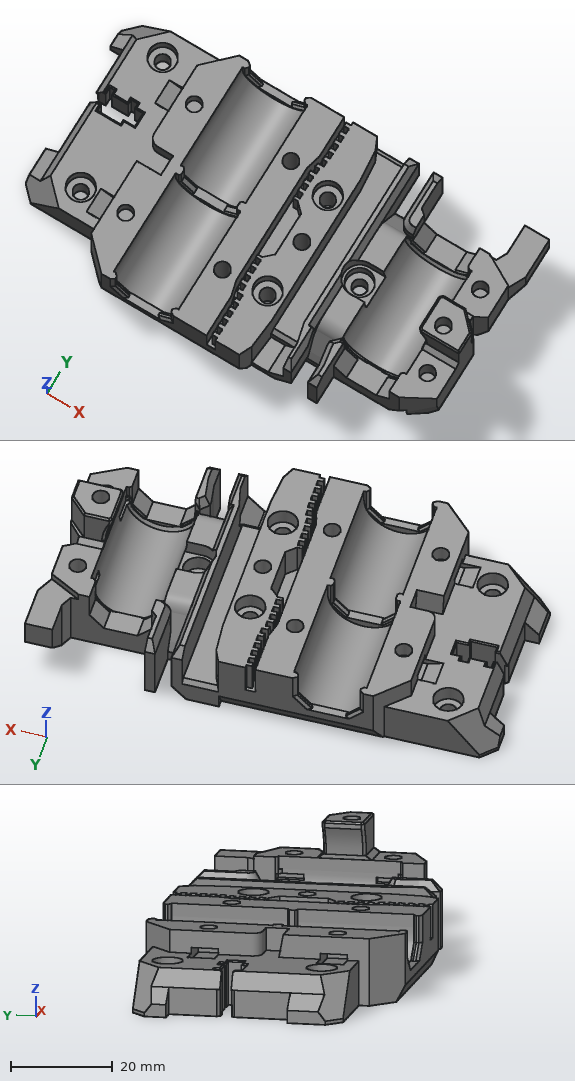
import cadquery as cq
import math

SIDE_Y = 26.02
BODY_TOP = 13.6
TOTAL_HEIGHT = 21.4
OVERCUT = 1.0

PLATE_TOP = 9.0
PLATE_LEFT_Y = 24.3
PLATE_RIGHT_Y = -18.0
PLATE_FACE_X = 3.0
PLATE_BEVEL_X = 4.6
PLATE_BEVEL_Z = 5.4
TOE_Z = 2.6
TOE_GAP_LEFT_Y = 17.0
TOE_GAP_RIGHT_Y = -7.4
CORNER_CUT_Z = 0.8

BLOCK_X = 18.1
BLOCK_END_X = 57.7
SHOULDER = 6.0
SKIRT_Z = 3.15
SKIRT_Y = 1.5

CRADLE_RADIUS = 7.45
CRADLE_Z = 11.0
FRONT_CRADLE_X = 33.4
REAR_CRADLE_X = 78.5
MOUTH_HALF = 6.4
MOUTH_FLAT_HALF = 3.4
MOUTH_CORNER_Z = 8.1
MOUTH_FLOOR_Z = 5.1
FRONT_CRADLE_END_Y = 24.4
MID_RIB_HALF = 1.0
RIB_CHAMFER = 0.4
FRONT_MOUTH_CHAMFER = 0.9
FRONT_MOUTH_CHAMFER_Y = 0.6
REAR_CRADLE_END_Y = 12.3
REAR_RIB_CHAMFER = 0.5
REAR_SEAT_CHAMFER = 0.7

SCREW_D = 3.2
BOLT_D = 3.3
HEAD_D = 6.0
HEAD_DEPTH = 3.3
BLIND_DEPTH = 5.7
TOWER_HOLE_D = 3.3
TIE_WIDTH = 5.4
TIE_TOP = 10.1
TIE_FLOOR = 7.7
BOLT_Y = 12.94
REAR_BOLT_Y = 9.98

BELT_X = 48.3
BELT_WIDTH = 0.9
BELT_SHIFT = 0.9
BELT_BEND_OUTER_Y = 16.7
BELT_BEND_INNER_Y = 13.4
BELT_FLOOR = 6.9
TOOTH_PITCH = 2.0
TOOTH_GAP = 1.1
TOOTH_DEPTH = 1.1
TOOTH_COUNT = 10
FIRST_TOOTH_Y = 25.9

REAR_Y = 17.1
REAR_X = 93.7
REAR_CORNER_X = 87.2
REAR_CORNER_Y = 13.5
REAR_CRADLE_LEFT_X = REAR_CRADLE_X - MOUTH_HALF
DUCT_RIGHT_Y = -23.4
WALL_X = 63.3
WALL_OUTER_X = 65.5
WALL_SPLAY_X = 64.4
WALL_SPLAY_OUTER_X = 66.2
DUCT_FLOOR = 5.3
DUCT_LOW_FLOOR = 2.0
END_BEVEL = 2.0
CREST_BEVEL = 1.1
HUMP_TOP = 11.6
ARM_TOP = 12.0


def plan(points, z_low, z_high):
    """Prism with the given XY outline between two heights."""
    return cq.Workplane("XY").workplane(offset=z_low).polyline(points).close().extrude(z_high - z_low)


def along_y(points, y_low, y_high):
    """Prism with the given XZ outline between two Y positions."""
    return cq.Workplane("XZ", origin=(0, y_low, 0)).polyline(points).close().extrude(y_low - y_high)


def along_x(points, x_low, x_high):
    """Prism with the given YZ outline between two X positions."""
    return cq.Workplane("YZ", origin=(x_low, 0, 0)).polyline(points).close().extrude(x_high - x_low)


def block(x_low, x_high, y_low, y_high, z_low, z_high):
    size = (x_high - x_low, y_high - y_low, z_high - z_low)
    return cq.Workplane("XY").box(*size, centered=False).translate((x_low, y_low, z_low))


def beyond_plane(a, b, c, size=19.1):
    """Cube resting on the plane through three points, on the side of (b - a) x (c - a)."""
    start, along, across = cq.Vector(*a), cq.Vector(*b), cq.Vector(*c)
    x_direction = along - start
    normal = x_direction.cross(across - start)
    middle = (start + along + across) / 3
    plane = cq.Plane(middle.toTuple(), x_direction.toTuple(), normal.toTuple())
    return cq.Workplane(plane).box(size, size, size, centered=(True, True, False))


def drill(x, y, diameter, z_low, z_high=BODY_TOP + OVERCUT):
    return cq.Workplane("XY", origin=(x, y, z_low)).circle(diameter / 2).extrude(z_high - z_low)


def headed_hole(x, y, seat_z):
    """Through hole with a round head pocket above seat_z."""
    return drill(x, y, SCREW_D, -OVERCUT).union(drill(x, y, HEAD_D, seat_z))


def front_plate():
    plate_end_x = BLOCK_X + SHOULDER
    side = [
        (0, 0), (0, TOE_Z), (PLATE_FACE_X, PLATE_BEVEL_Z), (PLATE_BEVEL_X, PLATE_TOP),
        (plate_end_x, PLATE_TOP), (plate_end_x, 0),
    ]
    plate = along_y(side, PLATE_RIGHT_Y, PLATE_LEFT_Y)
    plate = plate.cut(
        block(-OVERCUT, PLATE_FACE_X, TOE_GAP_RIGHT_Y, TOE_GAP_LEFT_Y, -OVERCUT, PLATE_TOP)
    )
    base_run = 3.0
    top_x = 9.5
    for side_y, outward in ((PLATE_LEFT_Y, 1), (PLATE_RIGHT_Y, -1)):
        front_point = (0, side_y - outward * base_run, CORNER_CUT_Z)
        side_point = (base_run, side_y, CORNER_CUT_Z)
        top_point = (top_x, side_y, PLATE_TOP)
        if outward > 0:
            plate = plate.cut(beyond_plane(front_point, top_point, side_point))
        else:
            plate = plate.cut(beyond_plane(front_point, side_point, top_point))
        foot = [(0, front_point[1]), (base_run, side_y), (-OVERCUT, side_y + outward * OVERCUT)]
        plate = plate.cut(plan(foot, -OVERCUT, CORNER_CUT_Z))
    return plate


def wiring_notch():
    """Stepped slot running into the plate from its front face, with a bevelled rim."""
    rim, entry = 0.3, 0.6
    left_y, right_y = 7.1, 4.2
    outline = [
        (PLATE_FACE_X - OVERCUT, right_y), (5.3, right_y), (5.3, 2.8), (11.2, 2.8), (11.2, 3.8),
        (13.75, 3.8), (13.75, 7.5), (11.8, 7.5), (11.8, 8.7), (9.7, 8.7), (9.7, 7.5),
        (6.6, 7.5), (6.6, 8.7), (4.9, 8.7), (4.9, left_y), (PLATE_FACE_X - OVERCUT, left_y),
    ]
    slot = (
        cq.Workplane("XY", origin=(0, 0, -OVERCUT))
        .polyline(outline)
        .close()
        .offset2D(-rim, "intersection")
        .extrude(PLATE_TOP + 2 * OVERCUT)
    )
    bevel = cq.Workplane("XY", origin=(0, 0, PLATE_TOP)).polyline(outline).close().extrude(-rim, taper=45)
    funnel = [
        (PLATE_FACE_X, right_y + rim - entry), (PLATE_FACE_X + entry, right_y + rim),
        (PLATE_FACE_X + entry, left_y - rim), (PLATE_FACE_X, left_y - rim + entry),
    ]
    return slot.union(bevel).union(plan(funnel, -OVERCUT, PLATE_BEVEL_Z))


def main_block():
    taper_x, knee_x, knee_y, straight_y = 55.9, 57.1, 23.3, 16.7
    shoulder_x = BLOCK_X + SHOULDER
    half = [
        (shoulder_x, SIDE_Y), (taper_x, SIDE_Y), (knee_x, knee_y), (BLOCK_END_X, straight_y),
    ]
    mirrored = [(x, -y) for x, y in reversed(half)]
    shoulder_y = SIDE_Y - SHOULDER
    outline = half + mirrored + [(BLOCK_X, -shoulder_y), (BLOCK_X, shoulder_y)]
    body = plan(outline, 0, BODY_TOP)
    for outward in (1, -1):
        skirt = [(outward * SIDE_Y, 0), (outward * SIDE_Y, SKIRT_Z), (outward * (SIDE_Y - SKIRT_Y), 0)]
        body = body.cut(along_x(skirt, BLOCK_X, BLOCK_END_X))
    return body


def cable_notch():
    """Notch in the front of the block with one leaning side and one rounded corner."""
    end_x, left_y, right_y, lean, round_r = 23.7, 1.8, -3.0, 1.05, 2.0
    section = [
        (left_y, PLATE_TOP), (right_y + lean, PLATE_TOP),
        (right_y, BODY_TOP + OVERCUT), (left_y, BODY_TOP + OVERCUT),
    ]
    corner = (
        cq.Workplane("XY", origin=(0, 0, PLATE_TOP))
        .moveTo(BLOCK_X, left_y)
        .lineTo(BLOCK_X + round_r, left_y)
        .radiusArc((BLOCK_X, left_y + round_r), round_r)
        .close()
        .extrude(BODY_TOP)
    )
    return along_x(section, BLOCK_X - OVERCUT, end_x).union(corner)


def belt_slot():
    """Toothed belt slot along the block, with a clamping pocket at its middle."""
    end_y = SIDE_Y + OVERCUT
    front_edge = [
        (BELT_X, -end_y), (BELT_X, -BELT_BEND_OUTER_Y),
        (BELT_X - BELT_SHIFT, -BELT_BEND_INNER_Y), (BELT_X - BELT_SHIFT, BELT_BEND_INNER_Y),
        (BELT_X, BELT_BEND_OUTER_Y), (BELT_X, end_y),
    ]
    rear_edge = [(x + BELT_WIDTH, y) for x, y in reversed(front_edge)]
    slot_top = BODY_TOP + OVERCUT
    slot = plan(front_edge + rear_edge, BELT_FLOOR, slot_top)

    bend_length = BELT_BEND_OUTER_Y - BELT_BEND_INNER_Y
    for index in range(TOOTH_COUNT):
        y = FIRST_TOOTH_Y - index * TOOTH_PITCH
        bend = min(max((BELT_BEND_OUTER_Y - y) / bend_length, 0), 1)
        gap_x = BELT_X - BELT_SHIFT * bend
        gap_end_x = gap_x + BELT_WIDTH + TOOTH_DEPTH
        for center_y in (y, -y):
            gap = block(
                gap_x + BELT_WIDTH / 2, gap_end_x,
                center_y - TOOTH_GAP / 2, center_y + TOOTH_GAP / 2, BELT_FLOOR, slot_top,
            )
            slot = slot.union(gap)

    pocket_x, pocket_end_x, pocket_y, pocket_end_y = 49.4, 51.3, 6.7, 4.9
    pocket = [
        (BELT_X - BELT_SHIFT / 2, pocket_y), (pocket_x, pocket_y), (pocket_end_x, pocket_end_y),
        (pocket_end_x, -pocket_end_y), (pocket_x, -pocket_y), (BELT_X - BELT_SHIFT / 2, -pocket_y),
    ]
    return slot.union(plan(pocket, BELT_FLOOR, slot_top))


def mouth_outline(center_x, y, growth=0.0):
    """Eight-sided cradle opening; growth widens its upright and sloping sides."""
    half = MOUTH_HALF + growth
    top = BODY_TOP + OVERCUT
    points = [
        (-half, top), (-half, MOUTH_CORNER_Z), (-MOUTH_FLAT_HALF - growth, MOUTH_FLOOR_Z),
        (MOUTH_FLAT_HALF + growth, MOUTH_FLOOR_Z), (half, MOUTH_CORNER_Z), (half, top),
    ]
    return cq.Wire.makePolygon([cq.Vector(center_x + x, y, z) for x, z in points], close=True)


def flare(center_x, narrow_y, wide_y, growth):
    narrow = mouth_outline(center_x, narrow_y)
    wide = mouth_outline(center_x, wide_y, growth)
    return cq.Workplane(obj=cq.Solid.makeLoft([narrow, wide], True))


def mouth(center_x, half_length):
    wires = [mouth_outline(center_x, -half_length), mouth_outline(center_x, half_length)]
    return cq.Workplane(obj=cq.Solid.makeLoft(wires, True))


def bearing_seat(center_x, y_low, y_high, end_chamfer=0.0):
    """Round seat with upright sides above its axis and, if asked for, chamfered round ends."""
    seat = (
        cq.Workplane("XZ", origin=(center_x, y_low, CRADLE_Z))
        .circle(CRADLE_RADIUS)
        .extrude(y_low - y_high)
    )
    if end_chamfer > 0:
        seat = seat.edges("%CIRCLE").chamfer(end_chamfer)
    sides = block(
        center_x - CRADLE_RADIUS, center_x + CRADLE_RADIUS, y_low, y_high,
        CRADLE_Z, BODY_TOP + OVERCUT,
    )
    return seat.union(sides)


def front_cradle():
    cutter = mouth(FRONT_CRADLE_X, SIDE_Y + OVERCUT)
    for outward in (1, -1):
        inner, outer = outward * MID_RIB_HALF, outward * FRONT_CRADLE_END_Y
        cutter = cutter.union(bearing_seat(FRONT_CRADLE_X, min(inner, outer), max(inner, outer)))
        crest = outward * (MID_RIB_HALF - RIB_CHAMFER)
        cutter = cutter.union(flare(FRONT_CRADLE_X, crest, inner, RIB_CHAMFER))
        inner_lip = outer + outward * FRONT_MOUTH_CHAMFER_Y
        cutter = cutter.union(flare(FRONT_CRADLE_X, inner_lip, outer, FRONT_MOUTH_CHAMFER_Y))
        lip = outward * (SIDE_Y - FRONT_MOUTH_CHAMFER_Y)
        cutter = cutter.union(flare(FRONT_CRADLE_X, lip, outward * SIDE_Y, FRONT_MOUTH_CHAMFER))
    return cutter


def rear_cradle():
    cutter = mouth(REAR_CRADLE_X, REAR_Y + OVERCUT)
    seat = bearing_seat(REAR_CRADLE_X, -REAR_CRADLE_END_Y, REAR_CRADLE_END_Y, REAR_SEAT_CHAMFER)
    cutter = cutter.union(seat)
    for outward in (1, -1):
        seat_end = outward * REAR_CRADLE_END_Y
        lip = seat_end + outward * REAR_RIB_CHAMFER
        cutter = cutter.union(flare(REAR_CRADLE_X, lip, seat_end, REAR_RIB_CHAMFER))
    return cutter


def tie_slots():
    """Tie passages: ramped ones from the plate, straight ones in the rear cradle."""
    ramp_x, ramp_end_x, ramp_stop_x, rear_end_x = 14.4, 17.7, 24.8, 87.3
    path = [
        (ramp_x, PLATE_TOP), (ramp_end_x, TIE_FLOOR), (ramp_stop_x, TIE_FLOOR),
        (ramp_stop_x, TIE_TOP), (ramp_x, TIE_TOP),
    ]
    cutters = cq.Workplane()
    for outward in (1, -1):
        y = outward * BOLT_Y
        cutters = cutters.add(along_y(path, y - TIE_WIDTH / 2, y + TIE_WIDTH / 2))
        y = outward * REAR_BOLT_Y
        cutters = cutters.add(block(
            REAR_CRADLE_X + MOUTH_HALF, rear_end_x,
            y - TIE_WIDTH / 2, y + TIE_WIDTH / 2, PLATE_TOP, TIE_TOP,
        ))
    return cutters.combine()


def duct_trough():
    """Trough behind the block: floor, sloping outer corner and the upright wall."""
    outer_slope_x = 62.5
    outer_slope_z = WALL_SPLAY_OUTER_X - outer_slope_x
    start_x = BLOCK_END_X - 1.9
    splay_start_y, splay_end_y = -13.75, -18.1
    section = [
        (start_x, 0), (outer_slope_x, 0), (WALL_SPLAY_OUTER_X, outer_slope_z),
        (WALL_SPLAY_OUTER_X, BODY_TOP), (start_x, BODY_TOP),
    ]
    trough = along_y(section, DUCT_RIGHT_Y, SIDE_Y)
    outside = [
        (WALL_OUTER_X, SIDE_Y), (WALL_OUTER_X, splay_start_y), (WALL_SPLAY_OUTER_X, -REAR_Y),
        (WALL_SPLAY_OUTER_X, DUCT_RIGHT_Y), (start_x, DUCT_RIGHT_Y), (start_x, SIDE_Y),
    ]
    trough = trough.intersect(plan(outside, 0, BODY_TOP))

    crest = [
        (WALL_OUTER_X - CREST_BEVEL, BODY_TOP), (WALL_OUTER_X, BODY_TOP - END_BEVEL),
        (WALL_SPLAY_OUTER_X, BODY_TOP - END_BEVEL), (WALL_SPLAY_OUTER_X, BODY_TOP),
    ]
    trough = trough.cut(along_y(crest, splay_start_y, SIDE_Y))
    crest_right = [
        (WALL_SPLAY_OUTER_X - CREST_BEVEL, BODY_TOP), (WALL_SPLAY_OUTER_X, BODY_TOP - END_BEVEL),
        (WALL_SPLAY_OUTER_X, BODY_TOP),
    ]
    trough = trough.cut(along_y(crest_right, DUCT_RIGHT_Y, splay_start_y))
    trough = trough.cut(end_bevels(start_x, WALL_SPLAY_OUTER_X))

    step_y, step_end_y, bevel_y, bevel_drop = -15.95, -17.0, 25.1, 0.9
    floor_profile = [
        (DUCT_RIGHT_Y, DUCT_LOW_FLOOR), (step_end_y, DUCT_LOW_FLOOR),
        (step_end_y, DUCT_FLOOR - bevel_drop), (step_y, DUCT_FLOOR),
        (bevel_y, DUCT_FLOOR), (SIDE_Y, DUCT_FLOOR - bevel_drop),
        (SIDE_Y, BODY_TOP), (DUCT_RIGHT_Y, BODY_TOP),
    ]
    inside = [
        (start_x, SIDE_Y), (WALL_X, SIDE_Y), (WALL_X, splay_start_y),
        (WALL_SPLAY_X, splay_end_y), (WALL_SPLAY_X, DUCT_RIGHT_Y), (start_x, DUCT_RIGHT_Y),
    ]
    inner_slope_x = 60.9
    inner_section = [
        (start_x, DUCT_LOW_FLOOR), (inner_slope_x, DUCT_LOW_FLOOR),
        (WALL_SPLAY_X, DUCT_LOW_FLOOR + WALL_SPLAY_X - inner_slope_x),
        (WALL_SPLAY_X, BODY_TOP), (start_x, BODY_TOP),
    ]
    air = along_x(floor_profile, start_x, WALL_SPLAY_X)
    air = air.intersect(plan(inside, 0, BODY_TOP))
    air = air.intersect(along_y(inner_section, DUCT_RIGHT_Y, SIDE_Y))
    return trough.cut(air)


def end_bevels(x_low, x_high):
    """Bevels that lower the ends of a duct wall."""
    left = [(SIDE_Y - END_BEVEL, BODY_TOP), (SIDE_Y, BODY_TOP - END_BEVEL), (SIDE_Y, BODY_TOP)]
    right = [
        (DUCT_RIGHT_Y + END_BEVEL, BODY_TOP), (DUCT_RIGHT_Y, BODY_TOP - END_BEVEL),
        (DUCT_RIGHT_Y, BODY_TOP),
    ]
    return along_x(left, x_low, x_high).union(along_x(right, x_low, x_high))


def duct_hump():
    """Rounded hump that fills the gap between the trough and the rear body."""
    foot_z, flat_y, shoulder_y, shoulder_z, curl_y, curl_z = 2.3, 9.6, 12.9, 9.4, 16.0, 4.3
    return (
        cq.Workplane("YZ", origin=(WALL_X, 0, 0))
        .moveTo(-REAR_Y, 0)
        .lineTo(-REAR_Y, foot_z)
        .lineTo(-curl_y, curl_z)
        .lineTo(-shoulder_y, shoulder_z)
        .threePointArc((-11.6, 11.0), (-flat_y, HUMP_TOP))
        .lineTo(flat_y, HUMP_TOP)
        .threePointArc((11.6, 11.0), (shoulder_y, shoulder_z))
        .lineTo(curl_y, curl_z)
        .lineTo(REAR_Y, foot_z)
        .lineTo(REAR_Y, 0)
        .close()
        .extrude(REAR_CRADLE_X - WALL_X)
    )


def bevelled_fin(outline, margin_outline):
    """Upright fin; margin_outline overhangs it except along the edges whose crest is bevelled."""
    bevel_angle = math.degrees(math.atan(CREST_BEVEL / END_BEVEL))
    bevel_z = BODY_TOP - END_BEVEL
    crest = margin_outline.extrude(END_BEVEL, taper=bevel_angle).translate((0, 0, bevel_z))
    foot = margin_outline.toPending().extrude(bevel_z)
    return outline.extrude(BODY_TOP).intersect(foot.union(crest))


def rear_duct_wall():
    """Two upright fins in front of the rear cradle, bevelled along their front crest."""
    fin_x, fin_back_x, bend_y, inner_y = 68.9, 71.0, 18.1, 13.0
    bend_r, margin = 2.4, 4.8
    back_x = REAR_CRADLE_LEFT_X

    def left_face(outer_y, inner_end_x):
        """Front face of the left fin, curving inwards, still open at the back."""
        return (
            cq.Workplane("XY")
            .moveTo(inner_end_x, inner_y)
            .lineTo(fin_x + bend_r, inner_y)
            .radiusArc((fin_x, inner_y + bend_r), bend_r)
            .lineTo(fin_x, outer_y)
        )

    left = bevelled_fin(
        left_face(SIDE_Y, back_x)
        .lineTo(fin_back_x, SIDE_Y)
        .lineTo(fin_back_x, bend_y)
        .lineTo(back_x, REAR_Y)
        .close(),
        left_face(SIDE_Y + margin, back_x + margin).lineTo(back_x + margin, SIDE_Y + margin).close(),
    )

    right_x, throat_x = 70.0, 69.3
    right_face = [
        (right_x, -REAR_Y - 1.9), (throat_x, -inner_y - 1.9), (throat_x, -inner_y - 1.0),
        (fin_back_x, 0.7 - inner_y),
    ]
    right_outline = right_face + [(back_x, -inner_y), (back_x, DUCT_RIGHT_Y), (right_x, DUCT_RIGHT_Y)]
    right_margin = right_face + [
        (back_x + margin, 0.7 - inner_y), (back_x + margin, DUCT_RIGHT_Y - margin),
        (right_x, DUCT_RIGHT_Y - margin),
    ]
    right = bevelled_fin(
        cq.Workplane("XY").polyline(right_outline).close(),
        cq.Workplane("XY").polyline(right_margin).close(),
    )
    return left.union(right).cut(end_bevels(fin_x, back_x))


def duct_screw_recess():
    """Rounded recess with a screw hole at the middle of the hump."""
    screw_x, floor_z, half_width, end_x = 67.7, 8.5, 3.6, 71.6
    recess = drill(screw_x, 0, 2 * half_width, floor_z)
    recess = recess.union(
        block(screw_x, end_x, -half_width, half_width, floor_z, BODY_TOP)
    )
    wall_part = block(0, WALL_X, -SIDE_Y, SIDE_Y, 0, TOTAL_HEIGHT)
    return recess.cut(wall_part).union(headed_hole(screw_x, 0, floor_z - HEAD_DEPTH))


BACK_SLOPE = [(91.9, 0), (95.5, 6.3)]
SIDE_NOTCH = [(REAR_X, 5.9), (91.1, 4.5), (91.1, 3.2), (REAR_X, 0.4)]


def rear_body():
    body = plan(
        [
            (REAR_CRADLE_LEFT_X, REAR_Y), (REAR_CORNER_X, REAR_Y), (REAR_X, REAR_CORNER_Y),
            (REAR_X, -REAR_CORNER_Y), (REAR_CORNER_X, -REAR_Y), (REAR_CRADLE_LEFT_X, -REAR_Y),
        ],
        0, BODY_TOP,
    )
    front_strip = block(
        REAR_CRADLE_X - CRADLE_RADIUS, REAR_CRADLE_X, -REAR_CRADLE_END_Y, REAR_CRADLE_END_Y,
        0, HUMP_TOP,
    )
    split_x = 88.4
    undercut = beyond_plane((84.9, -REAR_Y, 0), (90.8, -15.1, 5.2), (86.9, -REAR_Y, 3.1))
    undercut = undercut.intersect(block(REAR_CRADLE_X, split_x, -SIDE_Y, 0, 0, BODY_TOP))
    lean = beyond_plane((split_x, -16.0, 0), (REAR_X, -REAR_CORNER_Y, 7.8), (90.8, -15.1, 5.2))
    lean = lean.intersect(block(split_x, REAR_X, -SIDE_Y, 0, 0, BODY_TOP))
    return body.union(front_strip).cut(undercut).cut(lean)


def side_arm():
    """Arm reaching out to the left from the back corner, with a sloping underside."""
    arm_x, arm_back_x, neck_x, neck_y, tip_z = 89.9, 95.5, 88.7, 19.4, 6.5
    arm = plan(
        [
            (arm_x, SIDE_Y), (arm_back_x, SIDE_Y), (arm_back_x, REAR_Y), (REAR_X, REAR_CORNER_Y),
            (REAR_CORNER_X, REAR_Y), (neck_x, REAR_Y), (arm_x, neck_y),
        ],
        0, ARM_TOP,
    )
    underside = [(SIDE_Y, 0), (SIDE_Y, tip_z), (SIDE_Y - tip_z, 0)]
    return arm.cut(along_x(underside, neck_x - OVERCUT, arm_back_x))


def back_cuts():
    """Sloping back underside and the notch beside the tower."""
    (low_x, low_z), (high_x, high_z) = BACK_SLOPE
    slope = along_y(
        [(low_x, low_z), (high_x, high_z), (high_x + OVERCUT, high_z), (high_x + OVERCUT, low_z)],
        -SIDE_Y, SIDE_Y,
    )
    notch = plan(SIDE_NOTCH, -OVERCUT, BODY_TOP + OVERCUT)
    return slope.union(notch)


def tower():
    """Screw tower that leans over the rear cradle, on a flared foot."""
    left_y, right_y, flare_run, foot_z = 3.3, -5.2, 1.2, 14.4
    seat_x, lip_x, lip_z, edge, side_edge = 85.9, 84.3, 20.1, 0.4, 0.6
    column = (
        cq.Workplane("XZ", origin=(0, right_y, 0))
        .moveTo(seat_x, BODY_TOP)
        .threePointArc((85.5, 17.2), (lip_x, lip_z))
        .lineTo(lip_x, TOTAL_HEIGHT)
        .lineTo(REAR_X, TOTAL_HEIGHT)
        .lineTo(REAR_X, BODY_TOP)
        .close()
        .extrude(right_y - left_y)
    )
    corner_x, corner_y = 90.1, -0.4
    column = column.cut(plan(
        [(corner_x, left_y), (REAR_X, corner_y), (REAR_X, left_y)], BODY_TOP, TOTAL_HEIGHT
    ))
    column = column.edges("%CIRCLE or (<X and |Z)").chamfer(side_edge)
    column = column.faces(">Z").chamfer(edge)
    foot = along_x(
        [
            (right_y - flare_run, BODY_TOP), (right_y, foot_z), (left_y, foot_z),
            (left_y + flare_run, BODY_TOP),
        ],
        seat_x, REAR_X,
    )
    return column.union(foot.cut(plan(SIDE_NOTCH, BODY_TOP, foot_z)))


def screw_holes():
    plate_x, belt_x, belt_mid_x = 10.9, 53.9, 54.4
    front_bolt_x, rear_bolt_x, through_bolt_x = 21.8, 89.4, 44.0
    tower_x, tower_y = 88.1, -1.9
    cutters = cq.Workplane()
    for y in (18.9, -12.0):
        cutters = cutters.add(headed_hole(plate_x, y, PLATE_TOP - HEAD_DEPTH))
    for y in (10.7, -12.0):
        cutters = cutters.add(headed_hole(belt_x, y, BODY_TOP - HEAD_DEPTH))
    cutters = cutters.add(drill(belt_mid_x, 0, BOLT_D, -OVERCUT))
    for outward in (1, -1):
        cutters = cutters.add(drill(through_bolt_x, outward * BOLT_Y, BOLT_D, -OVERCUT))
        cutters = cutters.add(drill(front_bolt_x, outward * BOLT_Y, BOLT_D, BODY_TOP - BLIND_DEPTH))
        cutters = cutters.add(drill(rear_bolt_x, outward * REAR_BOLT_Y, BOLT_D, BODY_TOP - BLIND_DEPTH))
    cutters = cutters.add(drill(
        tower_x, tower_y, TOWER_HOLE_D, TOTAL_HEIGHT - BLIND_DEPTH, TOTAL_HEIGHT + OVERCUT
    ))
    return cutters.combine()


front = front_plate().cut(wiring_notch()).union(main_block().cut(cable_notch()))
front = front.cut(front_cradle()).cut(belt_slot())
rear = rear_body().union(side_arm()).union(rear_duct_wall()).union(duct_hump())
rear = rear.cut(rear_cradle()).cut(back_cuts()).union(tower())
result = front.union(duct_trough()).union(rear)
result = result.cut(duct_screw_recess()).cut(tie_slots()).cut(screw_holes())